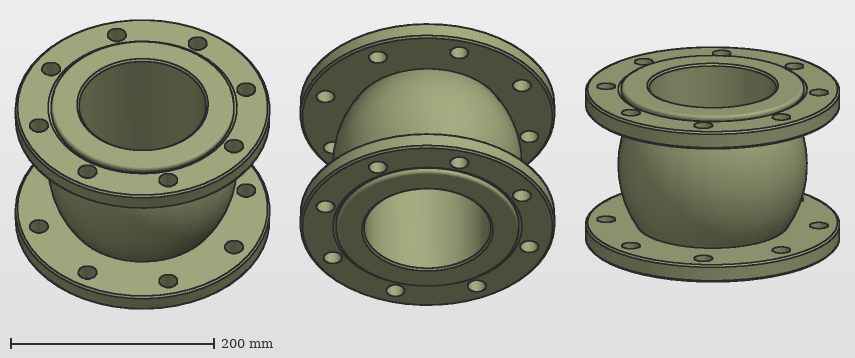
import cadquery as cq

flange_diameter = 250.0
total_height = 165.0
bore_diameter = 125.0

flange_thickness = 18.0
flange_chamfer = 2.0
bolt_count = 8
bolt_circle_diameter = 210.0
bolt_hole_diameter = 18.0

face_diameter = 180.0
face_height = 4.0
face_fillet = 3.0
groove_width = 3.0
groove_depth = 1.5
bore_chamfer = 2.0

neck_diameter = 150.0
bulge_diameter = 186.0

half_height = total_height / 2
flange_outer_z = half_height - face_height
flange_inner_z = flange_outer_z - flange_thickness
face_radius = face_diameter / 2


def make_body():
    """Barrel of revolution with an arc side, reaching to the inner sides of the flanges."""
    profile = (
        cq.Workplane("XZ")
        .moveTo(0, -flange_inner_z)
        .lineTo(neck_diameter / 2, -flange_inner_z)
        .threePointArc((bulge_diameter / 2, 0), (neck_diameter / 2, flange_inner_z))
        .lineTo(0, flange_inner_z)
        .close()
    )
    return profile.revolve(360, (0, 0, 0), (0, 1, 0))


def make_groove():
    """Ring with a triangular section, bevelling the flange around the raised face."""
    profile = (
        cq.Workplane("XZ")
        .moveTo(face_radius, flange_outer_z)
        .lineTo(face_radius + groove_width, flange_outer_z)
        .lineTo(face_radius, flange_outer_z - groove_depth)
        .close()
    )
    return profile.revolve(360, (0, 0, 0), (0, 1, 0))


def make_upper_end():
    """Upper flange with its bolt holes, raised face and bevel groove."""
    flange = (
        cq.Workplane("XY")
        .workplane(offset=flange_inner_z)
        .circle(flange_diameter / 2)
        .extrude(flange_thickness)
        .edges()
        .chamfer(flange_chamfer)
        .faces(">Z")
        .workplane()
        .polarArray(bolt_circle_diameter / 2, 180 / bolt_count, 360, bolt_count)
        .hole(bolt_hole_diameter)
    )
    raised_face = (
        cq.Workplane("XY")
        .workplane(offset=flange_outer_z)
        .circle(face_radius)
        .extrude(face_height)
        .faces(">Z")
        .edges()
        .fillet(face_fillet)
    )
    return flange.cut(make_groove()).union(raised_face)


def make_bore():
    """Straight through bore, widened by a chamfer at both mouths."""
    bore_radius = bore_diameter / 2
    mouth_radius = bore_radius + bore_chamfer
    profile = (
        cq.Workplane("XZ")
        .moveTo(0, -half_height)
        .lineTo(mouth_radius, -half_height)
        .lineTo(bore_radius, -half_height + bore_chamfer)
        .lineTo(bore_radius, half_height - bore_chamfer)
        .lineTo(mouth_radius, half_height)
        .lineTo(0, half_height)
        .close()
    )
    return profile.revolve(360, (0, 0, 0), (0, 1, 0))


upper_end = make_upper_end()
lower_end = upper_end.mirror("XY")
result = make_body().union(upper_end).union(lower_end).cut(make_bore())